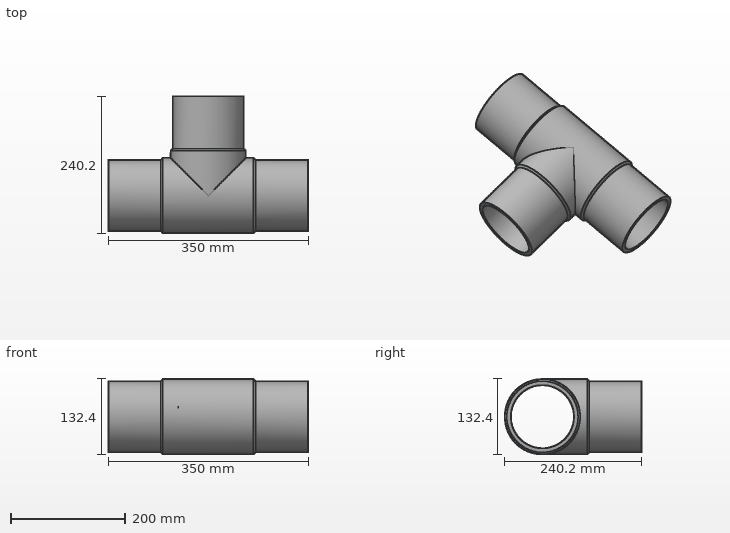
import cadquery as cq

spigot_diameter = 125.0
bore_diameter = 110.2
body_diameter = 132.4
run_length = 350.0
branch_length = 174.0
spigot_length = 92.0

shoulder_chamfer = (body_diameter - spigot_diameter) / 2
run_body_length = run_length - 2 * spigot_length
branch_body_length = branch_length - spigot_length

run_start = cq.Plane(origin=(-run_length / 2, 0, 0), xDir=(0, 1, 0), normal=(1, 0, 0))
run_body_start = cq.Plane(origin=(-run_body_length / 2, 0, 0), xDir=(0, 1, 0), normal=(1, 0, 0))
branch_start = cq.Plane(origin=(0, 0, 0), xDir=(1, 0, 0), normal=(0, 1, 0))


def cylinder(plane, diameter, length):
    """Solid cylinder rising from the plane along its normal."""
    return cq.Workplane(plane).circle(diameter / 2).extrude(length)


def make_run():
    """Straight run: thick body with chamfered shoulders and a spigot at each end."""
    body = cylinder(run_body_start, body_diameter, run_body_length)
    body = body.faces("<X or >X").chamfer(shoulder_chamfer)
    return body.union(cylinder(run_start, spigot_diameter, run_length))


def make_branch():
    """Side branch: thick body with one chamfered shoulder and a spigot."""
    body = cylinder(branch_start, body_diameter, branch_body_length)
    body = body.faces(">Y").chamfer(shoulder_chamfer)
    return body.union(cylinder(branch_start, spigot_diameter, branch_length))


def make_bores():
    """Through bore of the run joined to the branch bore."""
    run_bore = cylinder(run_start, bore_diameter, run_length)
    branch_bore = cylinder(branch_start, bore_diameter, branch_length)
    return run_bore.union(branch_bore)


result = make_run().union(make_branch()).cut(make_bores())